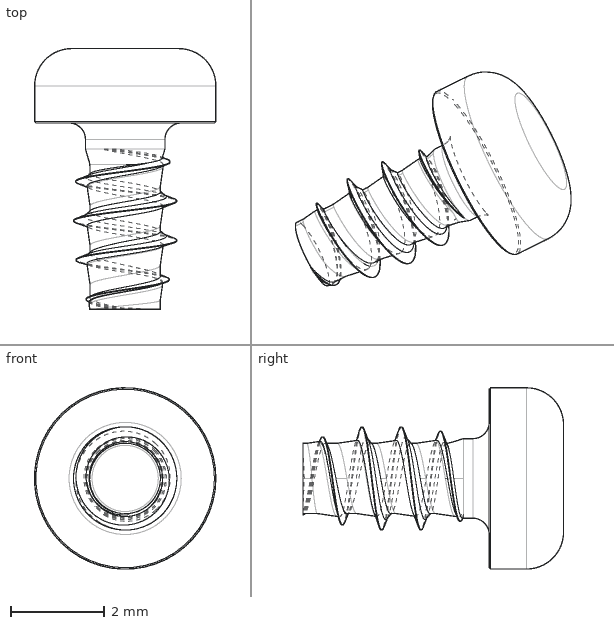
import cadquery as cq
import math

length = 5.6
head_diameter = 3.9
head_height = 1.6
dome_radius = 0.8
rim_chamfer = 0.035

core_radius = 0.755
neck_radius = 0.855
neck_fillet = 0.35
neck_end = 3.445
neck_taper_length = 0.335
core_overrun = 0.56
dimple_radius = 0.71
dimple_depth = 0.035

pitch = 0.845
major_radius = 1.11
crest_width = 0.015
shoulder_radius = 0.82
shoulder_offset = 0.11
taper_end_offset = 0.53
foot_radius = 0.885
foot_offset = 0.09
foot_end_offset = 0.195
thread_base_radius = 0.67
root_base_radius = 0.74
root_start_offset = 0.045

lead_in_turns = 1.25
lead_in_radius = 0.875
lead_out_turns = 1.5
lead_out_radius = 0.785
root_fade = 0.055
thread_turns = 4.25
overrun_turns = 0.25
start_angle = math.pi
samples_per_turn = 16


def revolved_blank():
    """Head, neck and plain core as one solid of revolution."""
    head_radius = head_diameter / 2
    seat = length - head_height
    diagonal = math.sqrt(0.5)
    dome_center_radius = head_radius - dome_radius
    dome_center_y = length - dome_radius
    fillet_center_radius = neck_radius + neck_fillet
    fillet_center_y = seat - neck_fillet
    return (
        cq.Workplane("XY")
        .moveTo(0, 0)
        .lineTo(core_radius, 0)
        .lineTo(core_radius, neck_end - neck_taper_length)
        .lineTo(neck_radius, neck_end)
        .lineTo(neck_radius, fillet_center_y)
        .threePointArc(
            (fillet_center_radius - neck_fillet * diagonal, fillet_center_y + neck_fillet * diagonal),
            (fillet_center_radius, seat),
        )
        .lineTo(head_radius - rim_chamfer, seat)
        .lineTo(head_radius, seat + rim_chamfer)
        .lineTo(head_radius, dome_center_y)
        .threePointArc(
            (dome_center_radius + dome_radius * diagonal, dome_center_y + dome_radius * diagonal),
            (dome_center_radius, length),
        )
        .lineTo(0, length)
        .close()
        .revolve(360, (0, 0, 0), (0, 1, 0))
    )


def tip_dimple():
    """Shallow conical hollow in the tip face."""
    section = cq.Workplane("XY").polyline([(0, 0), (dimple_radius, 0), (0, dimple_depth)]).close()
    return section.revolve(360, (0, 0, 0), (0, 1, 0))


def crest_sink(turn):
    """Radial drop of the thread below its full height along the lead-in and lead-out."""
    lead_in = (major_radius - lead_in_radius) * (1 - turn / lead_in_turns)
    lead_out = (major_radius - lead_out_radius) * (1 - (thread_turns - turn) / lead_out_turns)
    return max(0.0, lead_in, lead_out)


def root_sink(turn):
    """Radial drop that fades the root taper into the core over the last turn."""
    return max(0.0, root_fade * (turn - thread_turns + 1))


def helical_rib(profile, sink):
    """Solid swept by a (radius, offset toward the tip) polygon along the right-hand thread helix."""
    total_turns = thread_turns + overrun_turns
    steps = round(total_turns * samples_per_turn)

    def point(radius, offset, step):
        turn = step / samples_per_turn
        angle = start_angle + 2 * math.pi * turn
        local_radius = radius - sink(turn)
        axial = pitch * (thread_turns - turn) - offset
        return cq.Vector(local_radius * math.cos(angle), axial, local_radius * math.sin(angle))

    edges = []
    for radius, offset in profile:
        edges.append(cq.Edge.makeSpline([point(radius, offset, step) for step in range(steps + 1)]))
    faces = []
    for index, edge in enumerate(edges):
        faces.append(cq.Face.makeRuledSurface(edges[index - 1], edge))
    for step in (0, steps):
        corners = [point(radius, offset, step) for radius, offset in profile]
        faces.append(cq.Face.makeFromWires(cq.Wire.makePolygon(corners, close=True)))
    rib = cq.Solid.makeSolid(cq.Shell.makeShell(faces))
    return cq.Workplane(rib.fix())


def offset_on_line(radius, start, end):
    """Axial offset at a radius on the straight flank through two (radius, offset) points."""
    fraction = (radius - start[0]) / (end[0] - start[0])
    return start[1] + fraction * (end[1] - start[1])


head_side_crest = (major_radius, -crest_width / 2)
tip_side_crest = (major_radius, crest_width / 2)
shoulder = (shoulder_radius, shoulder_offset)
foot = (foot_radius, -foot_offset)
foot_end = (core_radius, -foot_end_offset)
taper_end = (core_radius, taper_end_offset)
thread_profile = [
    (thread_base_radius, offset_on_line(thread_base_radius, foot, foot_end)),
    foot,
    head_side_crest,
    tip_side_crest,
    (thread_base_radius, offset_on_line(thread_base_radius, tip_side_crest, shoulder)),
]
root_profile = [
    (root_base_radius, root_start_offset),
    (shoulder_radius, root_start_offset),
    shoulder,
    (root_base_radius, offset_on_line(root_base_radius, shoulder, taper_end)),
]

rough_core = cq.Workplane("XZ").workplane(offset=-neck_end - core_overrun).circle(core_radius)
rough_core = rough_core.extrude(neck_end + 2 * core_overrun)
threaded_zone = cq.Workplane("XZ").circle(head_diameter / 2).extrude(-neck_end)
root_taper = helical_rib(root_profile, root_sink)
thread = helical_rib(thread_profile, crest_sink)
rough_shank = rough_core.union(root_taper, clean=False).union(thread, clean=False)
threaded_shank = rough_shank.intersect(threaded_zone, clean=False)

result = threaded_shank.union(revolved_blank(), clean=False).cut(tip_dimple())